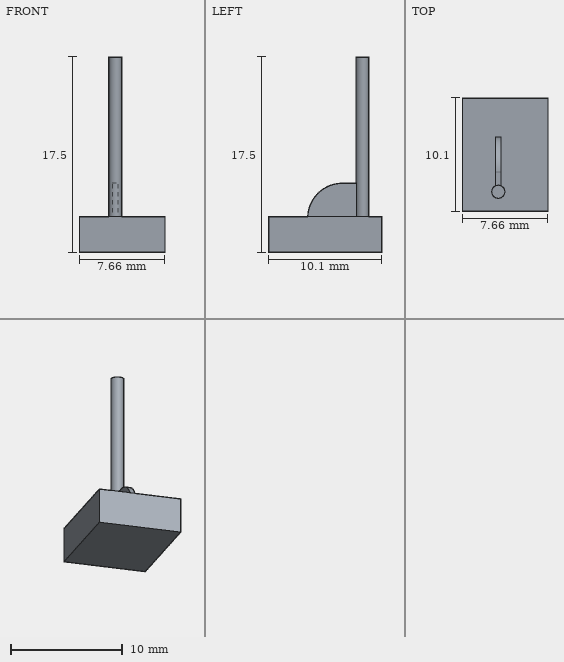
import cadquery as cq
import math

base_width = 7.66
base_depth = 10.13
base_height = 3.2

total_height = 17.46
pin_diameter = 1.17
pin_x = 3.2
pin_y = 1.76

rib_thickness = 0.48
rib_height = 3.0
rib_rear_y = 6.65
rib_flat_end_y = 3.52


def make_base():
    return cq.Workplane("XY").box(base_width, base_depth, base_height, centered=False)


def make_pin():
    pin_height = total_height - base_height
    return (
        cq.Workplane("XY", origin=(pin_x, pin_y, base_height))
        .circle(pin_diameter / 2)
        .extrude(pin_height)
    )


def make_rib():
    """Rib with a rounded rear end, which starts on the pin axis and runs toward +Y."""
    rib_top = base_height + rib_height
    arc_length_y = rib_rear_y - rib_flat_end_y
    arc_radius = (arc_length_y**2 + rib_height**2) / (2 * rib_height)
    half_angle = math.atan2(rib_height, arc_length_y)
    arc_middle = (
        rib_flat_end_y + arc_radius * math.sin(half_angle),
        rib_top - arc_radius * (1 - math.cos(half_angle)),
    )
    return (
        cq.Workplane("YZ", origin=(pin_x - rib_thickness / 2, 0, 0))
        .moveTo(pin_y, base_height)
        .lineTo(pin_y, rib_top)
        .lineTo(rib_flat_end_y, rib_top)
        .threePointArc(arc_middle, (rib_rear_y, base_height))
        .close()
        .extrude(rib_thickness)
    )


result = make_base().union(make_pin()).union(make_rib())